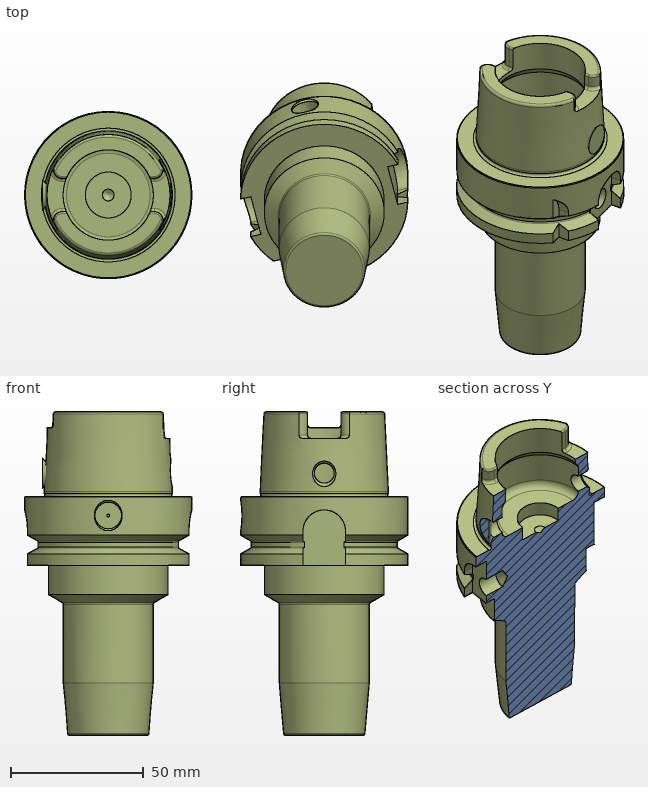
import cadquery as cq
import math

spigot_top_z = 31.9
nose_z = -90.0

spigot_top_radius = 22.75
spigot_base_radius = 24.2
taper_end_z = 1.9
relief_start_z = 1.1
relief_radius = 24.0
relief_mid_z = 0.25
relief_outer_radius = 25.2

flange_radius = 31.5
flange_thickness = 26.0
flange_edge_chamfer = 0.3
groove_center_z = -18.13
groove_mouth_width = 7.0
groove_floor_radius = 27.5
groove_flank_angle = math.radians(30)
groove_round = 0.6

collar_radius = 22.6
collar_end_z = -37.0
shank_radius = 17.0
shoulder_angle = math.radians(30)
shoulder_round = 0.8
nose_taper_start_z = -70.2
nose_radius = 15.3
nose_round = 0.8

lip_radius = 17.0
lip_end_z = 20.0
clamping_angle = math.radians(30)
cavity_radius = 18.5
cavity_floor_z = 2.0
cavity_floor_round = 2.75
seat_radius = 8.65
seat_depth = 6.0
center_drill_radius = 2.2
drill_tip_angle = math.radians(118)

rim_slot_width = 12.54
rim_slot_floor_z = {-1: spigot_top_z - 6, 1: spigot_top_z - 10}
rim_slot_floor_round = 1.2
rim_slot_flare_radius = 3.2
rim_slot_flare_x = 17.4
rim_outer_round = 1.0
rim_slot_edge_round = 0.7
rim_slot_edge_reach = 10.0

cross_hole_radius = 3.75
cross_hole_z = 8.75
cross_hole_mouth_radius = 4.75
cross_hole_mouth_x = 23.85

keyway_width = 16.0
keyway_floor_x = 26.5
keyway_arch_z = -13.1
notch_floor_x = -20.17
notch_side_y = 19.9
coolant_hole_radius = 4.0
coolant_hole_depth = 8.0
chip_hole_radius = 5.0
chip_hole_z = -7.2
chip_hole_depth = 5.0
chip_hole_mouth_radius = 5.7
chip_pin_hole_radius = 0.5
chip_pin_hole_depth = 1.0


def edges_at(radius, z):
    """Selector box around the circular edges of the given radius and height."""
    margin = 0.05
    return cq.selectors.BoxSelector(
        (-radius - margin, -radius - margin, z - margin),
        (radius + margin, radius + margin, z + margin),
        boundingbox=True,
    )


def make_outer_body():
    """Revolved outside shape: spigot, flange with groove, collar and shank."""
    groove_rise = (flange_radius - groove_floor_radius) * math.tan(groove_flank_angle)
    groove_top = groove_center_z + groove_mouth_width / 2
    groove_bottom = groove_center_z - groove_mouth_width / 2
    shoulder_end_z = collar_end_z - (collar_radius - shank_radius) * math.tan(shoulder_angle)
    body = (
        cq.Workplane("YZ")
        .moveTo(0, spigot_top_z)
        .lineTo(spigot_top_radius, spigot_top_z)
        .lineTo(spigot_base_radius, taper_end_z)
        .lineTo(spigot_base_radius, relief_start_z)
        .threePointArc((relief_radius, relief_mid_z), (relief_outer_radius, 0))
        .lineTo(flange_radius - flange_edge_chamfer, 0)
        .lineTo(flange_radius, -flange_edge_chamfer)
        .lineTo(flange_radius, groove_top)
        .lineTo(groove_floor_radius, groove_top - groove_rise)
        .lineTo(groove_floor_radius, groove_bottom + groove_rise)
        .lineTo(flange_radius, groove_bottom)
        .lineTo(flange_radius, -flange_thickness)
        .lineTo(collar_radius, -flange_thickness)
        .lineTo(collar_radius, collar_end_z)
        .lineTo(shank_radius, shoulder_end_z)
        .lineTo(shank_radius, nose_taper_start_z)
        .lineTo(nose_radius, nose_z)
        .lineTo(0, nose_z)
        .close()
        .revolve(360, (0, 0, 0), (0, 1, 0))
    )
    for z in (groove_top - groove_rise, groove_bottom + groove_rise):
        body = body.edges(edges_at(groove_floor_radius, z)).fillet(groove_round)
    body = body.edges(edges_at(shank_radius, shoulder_end_z)).fillet(shoulder_round)
    body = body.edges(edges_at(nose_radius, nose_z)).fillet(nose_round)
    return body.faces(">Z").edges().fillet(rim_outer_round)


def make_bore():
    """Stepped cavity with a clamping shoulder, a seat in the floor and a centre drill point."""
    shoulder_z = lip_end_z - (cavity_radius - lip_radius) / math.tan(clamping_angle)
    seat_z = cavity_floor_z - seat_depth
    drill_tip_z = seat_z - center_drill_radius / math.tan(drill_tip_angle / 2)
    bore = (
        cq.Workplane("YZ")
        .moveTo(0, spigot_top_z)
        .lineTo(lip_radius, spigot_top_z)
        .lineTo(lip_radius, lip_end_z)
        .lineTo(cavity_radius, shoulder_z)
        .lineTo(cavity_radius, cavity_floor_z)
        .lineTo(seat_radius, cavity_floor_z)
        .lineTo(seat_radius, seat_z)
        .lineTo(center_drill_radius, seat_z)
        .lineTo(0, drill_tip_z)
        .close()
        .revolve(360, (0, 0, 0), (0, 1, 0))
    )
    floor_edges = bore.edges(edges_at(cavity_radius, cavity_floor_z))
    return floor_edges.edges(cq.selectors.RadiusNthSelector(-1)).fillet(cavity_floor_round)


def make_rim_slot(side):
    """Slot through the rim wall, flaring outward in plan, with rounded floor edges."""
    half = rim_slot_width / 2
    flared_half = half + rim_slot_flare_radius
    flare_end_x = rim_slot_flare_x + rim_slot_flare_radius
    slot = (
        cq.Workplane("XY", origin=(0, 0, rim_slot_floor_z[side]))
        .moveTo(0, -half)
        .lineTo(rim_slot_flare_x, -half)
        .tangentArcPoint((flare_end_x, -flared_half), relative=False)
        .lineTo(flange_radius, -flared_half)
        .lineTo(flange_radius, flared_half)
        .lineTo(flare_end_x, flared_half)
        .radiusArc((rim_slot_flare_x, half), rim_slot_flare_radius)
        .lineTo(0, half)
        .close()
        .extrude(spigot_top_z - rim_slot_floor_z[side])
    )
    slot = slot.faces("<Z").edges("not(<X or >X)").fillet(rim_slot_floor_round)
    if side < 0:
        slot = slot.mirror("YZ")
    return slot


def make_cross_hole(side):
    """Radial hole through one side of the spigot wall with a 45 degree countersink."""
    cone_height = cross_hole_mouth_radius - cross_hole_radius
    start_x = side * lip_radius / 2
    inner_x = side * (cross_hole_mouth_x - cone_height)
    outer_x = side * (cross_hole_mouth_x + cone_height)
    return (
        cq.Workplane("XY", origin=(0, 0, cross_hole_z))
        .moveTo(start_x, 0)
        .lineTo(start_x, cross_hole_radius)
        .lineTo(inner_x, cross_hole_radius)
        .lineTo(outer_x, cross_hole_mouth_radius + cone_height)
        .lineTo(outer_x, 0)
        .close()
        .revolve(360, (0, 0, 0), (1, 0, 0))
    )


def make_round_ended_cut(floor_x, center_y, depth):
    """Cut along X with a round upper end, open at the lower flange face."""
    length = keyway_arch_z + flange_thickness
    wall = cq.Workplane("YZ", origin=(floor_x, center_y, keyway_arch_z))
    arch = wall.circle(keyway_width / 2).extrude(depth)
    straight = wall.center(0, -length / 2).rect(keyway_width, length).extrude(depth)
    return arch.union(straight)


def make_keyway(side):
    """Driving keyway on one X side of the flange."""
    depth = flange_radius - keyway_floor_x
    return make_round_ended_cut(side * keyway_floor_x, 0, side * depth)


def make_orientation_notch():
    """Notch at the -X, +Y edge of the flange with the same round end as the keyways."""
    depth = flange_radius + notch_floor_x
    return make_round_ended_cut(notch_floor_x, notch_side_y + keyway_width / 2, -depth)


def make_coolant_hole():
    """Drilled hole in the floor of the keyway on the -X side."""
    floor_x = coolant_hole_depth - keyway_floor_x
    tip_length = coolant_hole_radius / math.tan(drill_tip_angle / 2)
    return (
        cq.Workplane("XY", origin=(0, 0, groove_center_z))
        .moveTo(-flange_radius, 0)
        .lineTo(-flange_radius, coolant_hole_radius)
        .lineTo(floor_x, coolant_hole_radius)
        .lineTo(floor_x + tip_length, 0)
        .close()
        .revolve(360, (0, 0, 0), (1, 0, 0))
    )


def make_chip_hole():
    """Countersunk flat-bottomed pocket on the -Y side with a small pin hole in its floor."""
    mouth_y = -flange_radius
    floor_y = mouth_y + chip_hole_depth
    cone_height = chip_hole_mouth_radius - chip_hole_radius
    return (
        cq.Workplane("XY", origin=(0, 0, chip_hole_z))
        .moveTo(0, mouth_y - cone_height)
        .lineTo(chip_hole_mouth_radius + cone_height, mouth_y - cone_height)
        .lineTo(chip_hole_radius, mouth_y + cone_height)
        .lineTo(chip_hole_radius, floor_y)
        .lineTo(chip_pin_hole_radius, floor_y)
        .lineTo(chip_pin_hole_radius, floor_y + chip_pin_hole_depth)
        .lineTo(0, floor_y + chip_pin_hole_depth)
        .close()
        .revolve(360, (0, 0, 0), (0, 1, 0))
    )


result = make_outer_body().cut(make_bore())
for x_side in (-1, 1):
    result = result.cut(make_rim_slot(x_side)).cut(make_keyway(x_side))

slot_rim_edges = cq.selectors.BoxSelector(
    (-flange_radius, -rim_slot_edge_reach, spigot_top_z - rim_outer_round),
    (flange_radius, rim_slot_edge_reach, spigot_top_z + rim_outer_round),
)
result = result.faces(">Z").edges(slot_rim_edges).fillet(rim_slot_edge_round)

for x_side in (-1, 1):
    result = result.cut(make_cross_hole(x_side))
result = (
    result.cut(make_coolant_hole())
    .cut(make_orientation_notch())
    .cut(make_chip_hole())
)